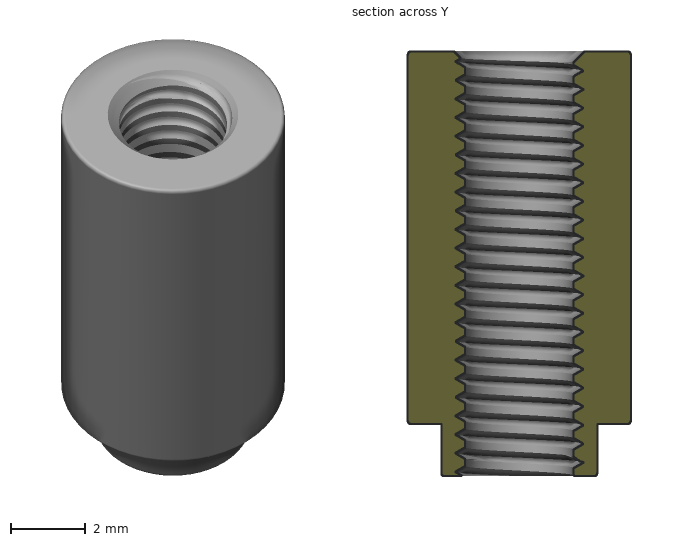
import cadquery as cq
import math

SLEEVE_DIAMETER = 6.0
SLEEVE_LENGTH = 10.0
SPIGOT_DIAMETER = 4.2
SPIGOT_LENGTH = 1.4
EDGE_RADIUS = 0.1

THREAD_MINOR_DIAMETER = 2.9
THREAD_PITCH = 0.5
THREAD_CREST_WIDTH = 0.2
THREAD_ANGLE = 60.0
THREAD_START_ANGLE = -90.0

MOUTH_DIAMETER = 3.5
MOUTH_ANGLE = 45.0

TOTAL_LENGTH = SLEEVE_LENGTH + SPIGOT_LENGTH
BORE_RADIUS = THREAD_MINOR_DIAMETER / 2

GROOVE_OVERLAP = 0.05
GROOVE_OVERRUN = THREAD_PITCH
BORE_OVERRUN = 3 * THREAD_PITCH


def rounded_cylinder(diameter, length, bottom, edges):
    """Cylinder rising from the given height, with the selected rims rounded."""
    cylinder = cq.Workplane("XY").workplane(offset=bottom).circle(diameter / 2).extrude(length)
    return cylinder.edges(edges).fillet(EDGE_RADIUS)


def make_body():
    """Sleeve with a reduced spigot below it."""
    sleeve = rounded_cylinder(SLEEVE_DIAMETER, SLEEVE_LENGTH, 0, "%CIRCLE")
    spigot = rounded_cylinder(SPIGOT_DIAMETER, TOTAL_LENGTH / 2, -SPIGOT_LENGTH, "<Z")
    return sleeve.union(spigot)


def make_thread_groove():
    """V-shaped helical groove that runs out past both ends of the part."""
    start = -SPIGOT_LENGTH - GROOVE_OVERRUN
    length = TOTAL_LENGTH + 2 * GROOVE_OVERRUN
    half_opening = (THREAD_PITCH - THREAD_CREST_WIDTH) / 2
    flank_slope = math.tan(math.radians(THREAD_ANGLE / 2))
    root_radius = BORE_RADIUS + half_opening / flank_slope
    inner_radius = BORE_RADIUS - GROOVE_OVERLAP
    inner_half = half_opening + GROOVE_OVERLAP * flank_slope
    helix = cq.Wire.makeHelix(THREAD_PITCH, length, BORE_RADIUS).translate(cq.Vector(0, 0, start))
    groove = (
        cq.Workplane("XZ")
        .moveTo(inner_radius, start - inner_half)
        .lineTo(root_radius, start)
        .lineTo(inner_radius, start + inner_half)
        .close()
        .sweep(cq.Workplane(helix), isFrenet=True)
    )
    return groove.rotate((0, 0, 0), (0, 0, 1), THREAD_START_ANGLE)


def make_threaded_bore():
    """Bore at the minor diameter joined with its groove, longer than the part at both ends."""
    bore = (
        cq.Workplane("XY")
        .workplane(offset=-SPIGOT_LENGTH - BORE_OVERRUN)
        .circle(BORE_RADIUS)
        .extrude(TOTAL_LENGTH + 2 * BORE_OVERRUN)
    )
    return bore.union(make_thread_groove())


def make_mouth():
    """Full cone, point down, whose base is the mouth circle on the top face."""
    radius = MOUTH_DIAMETER / 2
    depth = radius / math.tan(math.radians(MOUTH_ANGLE))
    cone = cq.Solid.makeCone(0, radius, depth)
    return cq.Workplane(cone).translate((0, 0, SLEEVE_LENGTH - depth))


result = make_body().cut(make_mouth()).cut(make_threaded_bore())